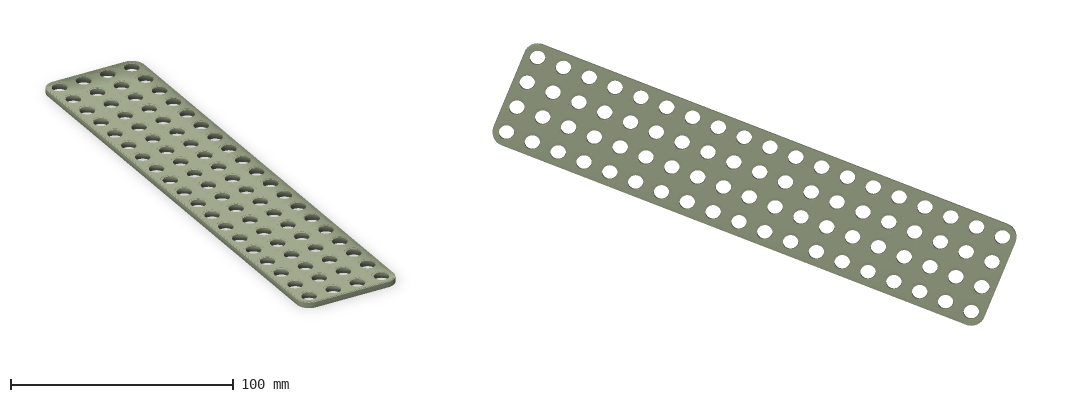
import cadquery as cq

length = 237.5
columns = 19
rows = 4
thickness = 3.0
step_height = 0.1
rim_ledge = 0.38
mouth_diameter = 9.3
outer_hole_ledge = 0.83
inner_hole_ledge = 0.3

pitch = length / columns
width = rows * pitch
corner_radius = pitch / 2

layer_heights = [thickness - 4 * step_height, thickness - 2 * step_height, thickness]
rim_insets = [0, rim_ledge, 2 * rim_ledge]
mouth_radius = mouth_diameter / 2
middle_radius = mouth_radius - outer_hole_ledge
bore_radius = middle_radius - inner_hole_ledge
hole_radii = [bore_radius, middle_radius, mouth_radius]


def make_plate():
    """Rounded plate whose rim steps inwards towards both faces."""
    plate = cq.Workplane("XY")
    for inset, height in zip(rim_insets, layer_heights):
        slab = cq.Workplane("XY").box(length - 2 * inset, width - 2 * inset, height)
        plate = plate.union(slab.edges("|Z").fillet(corner_radius - inset))
    return plate


def make_hole():
    """Solid of one through hole that steps outwards towards both faces."""
    top = thickness / 2
    hole = cq.Workplane("XY").circle(bore_radius).extrude(top, both=True)
    for radius, inner_layer in zip(hole_radii[1:], layer_heights):
        floor = inner_layer / 2
        for side in (-1, 1):
            mouth = cq.Workplane("XY").workplane(offset=side * floor)
            hole = hole.union(mouth.circle(radius).extrude(side * (top - floor)))
    return hole.val()


hole = make_hole()
holes = (
    cq.Workplane("XY")
    .rarray(pitch, pitch, columns, rows)
    .eachpoint(lambda location: hole.moved(location))
)

result = make_plate().cut(holes)